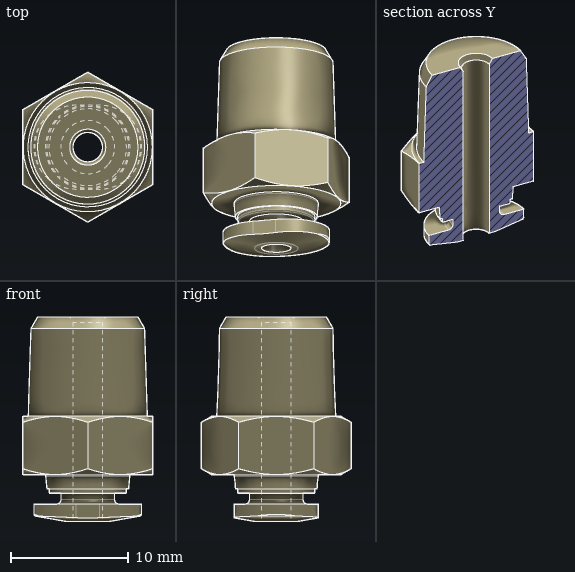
import cadquery as cq
import math


hex_sides = 6
half_side_angle = 180 / hex_sides
hex_across_flats = 11.11
hex_across_corners = hex_across_flats / math.cos(math.radians(half_side_angle))
hex_bottom = 4.0
hex_height = 5.0
hex_top = hex_bottom + hex_height
hex_chamfer_diameter = 11.04
hex_chamfer_angle = 30.0

total_height = 17.5
spigot_base_diameter = 10.2
spigot_taper = 1 / 16
spigot_chamfer_height = 1.0
spigot_chamfer_angle = 30.0

bore_diameter = 2.5
countersink_diameter = 3.08
countersink_angle = 30.0

collar_diameter = 7.2
collar_end_diameter = 7.0
collar_straight_height = 0.15
collar_bottom = 2.8
lip_diameter = 6.6
lip_bottom = 2.4
lip_fillet = 0.1

stem_diameter = 4.58
flange_top = 1.5
flare_radius = 0.4
flange_width = 7.2
flange_flat_length = 2.0
flange_length = flange_width + flange_flat_length
flange_face_diameter = 3.7
flange_cone_angle = 10.0
flange_rim_width = 0.1
flange_rim_angle = 55.0


def rise(radial_distance, angle):
    """Axial rise of a cone over a radial distance, its angle measured from the radial plane."""
    return radial_distance * math.tan(math.radians(angle))


def revolve_profile(points):
    """Revolve a closed (radius, height) profile about the Z axis."""
    return cq.Workplane("XZ").polyline(points).close().revolve(360, (0, 0), (0, 1))


def make_hexagon():
    base_plane = cq.Workplane("XY").workplane(offset=hex_bottom)
    prism = base_plane.polygon(hex_sides, hex_across_corners).extrude(hex_height)
    prism = prism.rotate((0, 0, 0), (0, 0, 1), half_side_angle)
    face_radius = hex_chamfer_diameter / 2
    outer_radius = hex_across_corners / 2
    corner_drop = rise(outer_radius - face_radius, hex_chamfer_angle)
    envelope = revolve_profile([
        (0, hex_bottom),
        (face_radius, hex_bottom),
        (outer_radius, hex_bottom + corner_drop),
        (outer_radius, hex_top - corner_drop),
        (face_radius, hex_top),
        (0, hex_top),
    ])
    return prism.intersect(envelope)


def make_spigot():
    chamfer_start = total_height - spigot_chamfer_height
    base_radius = spigot_base_diameter / 2
    upper_radius = base_radius - (chamfer_start - hex_top) * spigot_taper / 2
    end_radius = upper_radius - spigot_chamfer_height * math.tan(math.radians(spigot_chamfer_angle))
    return revolve_profile([
        (0, hex_top),
        (base_radius, hex_top),
        (upper_radius, chamfer_start),
        (end_radius, total_height),
        (0, total_height),
    ])


def make_collar_and_stem():
    collar_radius = collar_diameter / 2
    lip_radius = lip_diameter / 2
    stem_radius = stem_diameter / 2
    foot_radius = stem_radius + flare_radius
    arc_inset = 1 - math.sqrt(0.5)
    fillet_middle = (lip_radius - lip_fillet * arc_inset, lip_bottom + lip_fillet * arc_inset)
    flare_middle = (stem_radius + flare_radius * arc_inset, flange_top + flare_radius * arc_inset)
    return (
        cq.Workplane("XZ")
        .moveTo(0, hex_bottom)
        .lineTo(collar_radius, hex_bottom)
        .lineTo(collar_radius, hex_bottom - collar_straight_height)
        .lineTo(collar_end_diameter / 2, collar_bottom)
        .lineTo(lip_radius, collar_bottom)
        .lineTo(lip_radius, lip_bottom + lip_fillet)
        .threePointArc(fillet_middle, (lip_radius - lip_fillet, lip_bottom))
        .lineTo(stem_radius, lip_bottom)
        .lineTo(stem_radius, flange_top + flare_radius)
        .threePointArc(flare_middle, (foot_radius, flange_top))
        .lineTo(0, flange_top)
        .close()
        .revolve(360, (0, 0), (0, 1))
    )


def make_flange():
    obround = cq.Workplane("XY").slot2D(flange_length, flange_width).extrude(flange_top)
    face_radius = flange_face_diameter / 2
    outer_radius = flange_length / 2
    rim_radius = outer_radius - flange_rim_width
    rim_bottom = rise(rim_radius - face_radius, flange_cone_angle)
    coned_envelope = revolve_profile([
        (0, 0),
        (face_radius, 0),
        (rim_radius, rim_bottom),
        (outer_radius, rim_bottom + rise(flange_rim_width, flange_rim_angle)),
        (outer_radius, flange_top),
        (0, flange_top),
    ])
    return obround.intersect(coned_envelope)


def make_bore():
    bore_radius = bore_diameter / 2
    countersink_radius = countersink_diameter / 2
    countersink_depth = (countersink_radius - bore_radius) / math.tan(math.radians(countersink_angle))
    return revolve_profile([
        (0, 0),
        (bore_radius, 0),
        (bore_radius, total_height - countersink_depth),
        (countersink_radius, total_height),
        (0, total_height),
    ])


body = make_hexagon().union(make_spigot()).union(make_collar_and_stem()).union(make_flange())
result = body.cut(make_bore())